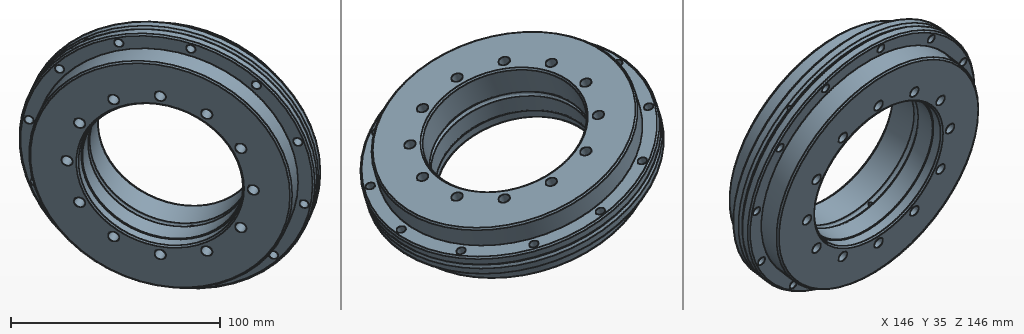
import cadquery as cq

outer_diameter = 146.0
width = 35.0
body_diameter = 130.0
flange_width = 12.0
edge_chamfer = 0.9

rim_groove_width = 2.9
rim_groove_depth = 1.0

bore_diameter = 80.0
counterbore_diameter = 81.2
counterbore_depth = 5.8
bore_groove_width = 2.9

hole_count = 12
body_hole_diameter = 5.5
body_hole_circle = 92.0
body_hole_start_angle = 0.0
flange_hole_diameter = 4.5
flange_hole_circle = 138.0
flange_hole_start_angle = 20.0

oil_hole_diameter = 2.0
oil_hole_depth = 5.8
rim_oil_angle = 125.0
bore_oil_angle = 285.0

overrun = 1.5

outer_radius = outer_diameter / 2
bore_radius = bore_diameter / 2

AXIS_START = (0, 0, 0)
AXIS_END = (0, 1, 0)


def disc(diameter, thickness):
    """Disc along Y, centred on the middle plane, with both rims chamfered."""
    blank = cq.Workplane("XZ").circle(diameter / 2).extrude(thickness / 2, both=True)
    return blank.edges("%CIRCLE").chamfer(edge_chamfer)


def bore():
    """Stepped cutter for the bore, flared at both ends to chamfer its edges."""
    counterbore_radius = counterbore_diameter / 2
    front = -width / 2
    back = width / 2
    step = front + counterbore_depth
    half_section = [
        (0, front),
        (counterbore_radius + edge_chamfer, front),
        (counterbore_radius, front + edge_chamfer),
        (counterbore_radius, step),
        (bore_radius, step),
        (bore_radius, back - edge_chamfer),
        (bore_radius + edge_chamfer, back),
        (0, back),
    ]
    return cq.Workplane("XY").polyline(half_section).close().revolve(360, AXIS_START, AXIS_END)


def bolt_holes(diameter, circle, start_angle):
    """Ring of through-hole cylinders along Y."""
    return (
        cq.Workplane("XZ")
        .polarArray(circle / 2, start_angle, 360, hole_count)
        .circle(diameter / 2)
        .extrude(width / 2, both=True)
    )


def oil_hole(start_radius, end_radius, angle):
    """Radial cylinder in the middle plane, at an angle from +X towards +Z."""
    cylinder = (
        cq.Workplane("YZ", origin=(start_radius, 0, 0))
        .circle(oil_hole_diameter / 2)
        .extrude(end_radius - start_radius)
    )
    return cylinder.rotate(AXIS_START, AXIS_END, -angle)


def rim_groove():
    """V-shaped ring cutter, straight-sided where it runs out past the rim."""
    half = rim_groove_width / 2
    half_section = [
        (outer_radius - rim_groove_depth, 0),
        (outer_radius, half),
        (outer_radius + overrun, half),
        (outer_radius + overrun, -half),
        (outer_radius, -half),
    ]
    return cq.Workplane("XY").polyline(half_section).close().revolve(360, AXIS_START, AXIS_END)


def bore_groove():
    """Round ring cutter, centred on the bore surface."""
    return cq.Workplane(
        cq.Solid.makeTorus(bore_radius, bore_groove_width / 2, cq.Vector(AXIS_START), cq.Vector(AXIS_END))
    )


result = disc(body_diameter, width).union(disc(outer_diameter, flange_width))
result = result.cut(bore())
result = result.cut(bolt_holes(body_hole_diameter, body_hole_circle, body_hole_start_angle))
result = result.cut(bolt_holes(flange_hole_diameter, flange_hole_circle, flange_hole_start_angle))

result = result.cut(oil_hole(outer_radius - oil_hole_depth, outer_radius + overrun, rim_oil_angle))
result = result.cut(oil_hole(bore_radius - overrun, bore_radius + oil_hole_depth, bore_oil_angle))
result = result.cut(rim_groove())
result = result.cut(bore_groove()).solids()